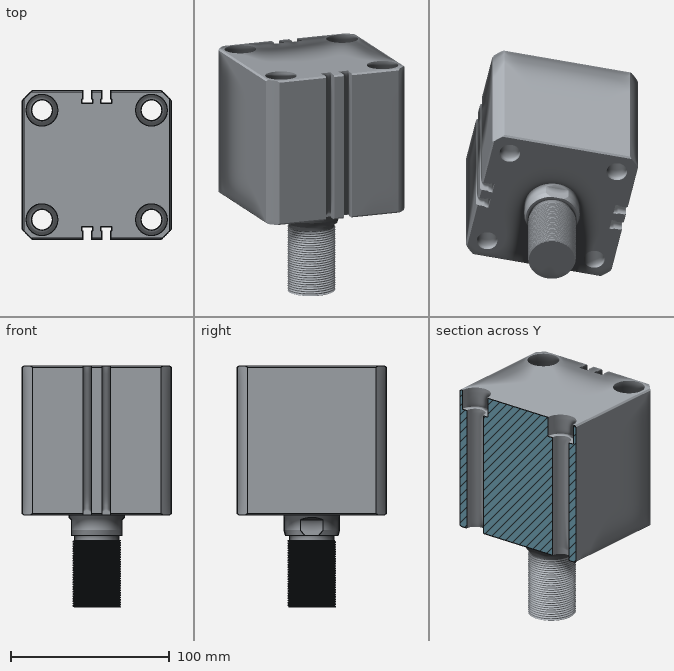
import cadquery as cq

block_size = 94.0
block_height = 94.0
corner_radius = 62.0
edge_chamfer = 1.0

hole_spacing = 69.0
hole_diameter = 13.0
counterbore_diameter = 20.0
counterbore_depth = 13.0

groove_offset = 6.0
groove_mouth_width = 5.5
groove_floor_width = 6.7
groove_mouth_depth = 5.5
groove_depth = 8.0

collar_radius = 17.5
collar_length = 13.0
collar_chamfer_width = 1.0
collar_chamfer_height = 3.3
flats_width = 32.0
flats_start = 3.0

thread_radius = 15.0
thread_pitch = 1.5
thread_depth = 0.9
ridge_base_width = 1.2
crest_width = 0.2
ridge_embed = 0.1
core_seam_angle = 20
thread_length = 42.0
neck_radius = thread_radius - thread_depth
neck_length = 3.0

stem_length = neck_length + thread_length
thread_bottom = -collar_length - stem_length


def groove_cutter(x, side):
    """Undercut groove along the full height, open on the face at Y = side * block_size / 2."""
    face = side * block_size / 2
    mouth = (
        cq.Workplane("XY").center(x, face)
        .rect(groove_mouth_width, 2 * groove_mouth_depth).extrude(block_height)
    )
    floor_thickness = groove_depth - groove_mouth_depth
    floor_y = face - side * (groove_mouth_depth + floor_thickness / 2)
    floor = (
        cq.Workplane("XY").center(x, floor_y)
        .rect(groove_floor_width, floor_thickness).extrude(block_height)
    )
    return mouth.union(floor)


def make_housing():
    """Square block with turned corners, four counterbored holes and two grooves on each Y face."""
    block = cq.Workplane("XY").rect(block_size, block_size).extrude(block_height)
    block = block.faces("<Z or >Z").chamfer(edge_chamfer)
    block = block.intersect(cq.Workplane("XY").circle(corner_radius).extrude(block_height))
    block = (
        block.faces(">Z").workplane(origin=(0, 0, block_height))
        .rect(hole_spacing, hole_spacing, forConstruction=True).vertices()
        .cboreHole(hole_diameter, counterbore_diameter, counterbore_depth)
    )
    for side in (-1, 1):
        for x in (-groove_offset, groove_offset):
            block = block.cut(groove_cutter(x, side))
    return block


def flat_cutter(side):
    """Wrench flat on one X side, with a 45 degree run-out at its upper end."""
    flat = flats_width / 2
    run_out = 2 * (collar_radius - flat)
    profile = [
        (side * flat, -collar_length),
        (side * flat, -flats_start),
        (side * (flat + run_out), -flats_start + run_out),
        (side * (flat + run_out), -collar_length),
    ]
    return cq.Workplane("XZ").polyline(profile).close().extrude(collar_radius, both=True)


def make_rod_collar():
    """Chamfered collar of the rod with a wrench flat on either side."""
    collar = (
        cq.Workplane("XZ")
        .moveTo(0, 0)
        .lineTo(collar_radius, 0)
        .lineTo(collar_radius, -collar_length + collar_chamfer_height)
        .lineTo(collar_radius - collar_chamfer_width, -collar_length)
        .lineTo(0, -collar_length)
        .close()
        .revolve(360, (0, 0, 0), (0, 1, 0))
    )
    for side in (-1, 1):
        collar = collar.cut(flat_cutter(side))
    return collar


def make_thread_ridge():
    """Right-hand helical ridge of trapezoid section, trimmed flat at both ends of the thread."""
    helix_bottom = thread_bottom - thread_pitch
    helix_length = thread_length + 2 * thread_pitch
    helix = cq.Wire.makeHelix(thread_pitch, helix_length, neck_radius, cq.Vector(0, 0, helix_bottom))
    ridge = (
        cq.Workplane("XZ")
        .polyline([
            (neck_radius - ridge_embed, helix_bottom - ridge_base_width / 2),
            (neck_radius - ridge_embed, helix_bottom + ridge_base_width / 2),
            (thread_radius, helix_bottom + crest_width / 2),
            (thread_radius, helix_bottom - crest_width / 2),
        ])
        .close()
        .sweep(cq.Workplane(helix), isFrenet=True)
    )
    thread_envelope = (
        cq.Workplane("XY").workplane(offset=thread_bottom)
        .circle(thread_radius + thread_depth).extrude(thread_length)
    )
    return ridge.intersect(thread_envelope)


def make_rod_thread():
    """Plain neck running on as the thread core, with the helical ridge around the core."""
    core = cq.Workplane("XY").workplane(offset=thread_bottom).circle(neck_radius).extrude(stem_length)
    core = core.rotate((0, 0, 0), (0, 0, 1), core_seam_angle)
    return core.union(make_thread_ridge())


def make_rod():
    """Piston rod end in one piece, standing out below the housing."""
    return make_rod_collar().union(make_rod_thread())


housing = make_housing()
rod = make_rod()

result = cq.Compound.makeCompound([housing.solids().val(), rod.solids().val()])